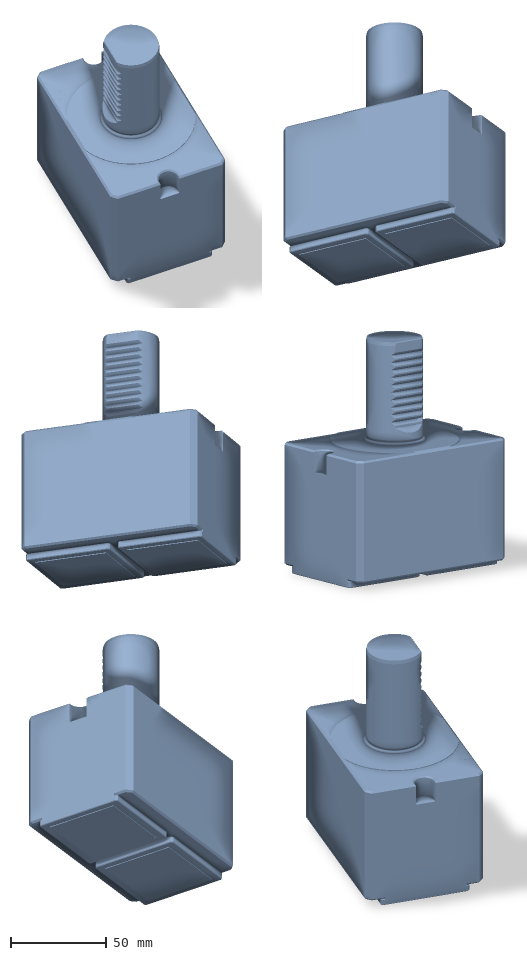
import cadquery as cq

length = 100.0
width = 66.0
block_bottom = 4.0
block_top = 70.0
corner_bevel = 3.0
top_bevel = 1.5
bottom_bevel = 1.0

seat_diameter = 68.0
seat_height = 0.5
shoulder_top = block_top - seat_height

notch_diameter = 10.8
notch_inset = 2.0
notch_depth = 12.0
notch_bevel = 0.8

pin_diameter = 6.0
pin_x = -30.0
pin_y = -29.0
pin_height = 0.06
pin_depth = 6.2

total_height = 125.0
shank_diameter = 30.0
ring_section = 2.5
ring_outer_diameter = 32.8
neck_height = 1.2
neck_top = block_top + neck_height
taper_inset = 0.4
top_taper = 2.0
neck_taper = 1.1

flat_distance = 12.0
flat_top_bevel = 0.4
flat_bottom = 79.0
groove_count = 10
groove_pitch = 4.0
groove_depth = 1.6
first_groove = 117.9

pad_gap = 4.4
pad_width = 49.4
pad_length = (length - pad_gap) / 2
pad_corner = 1.0
pad_edge = 0.4
pad_top = block_bottom
pad_bottom = 0.4
pad_root_width = 45.4
pad_root_top = 6.0
face_length = 40.5
face_width = 40.2


def box(x_size, y_size, bottom, top):
    """Upright box centred on the Z axis."""
    return cq.Workplane("XY").workplane(offset=bottom).rect(x_size, y_size).extrude(top - bottom)


def disc(diameter, bottom, top):
    """Upright cylinder on the Z axis."""
    return cq.Workplane("XY").workplane(offset=bottom).circle(diameter / 2).extrude(top - bottom)


def make_block():
    block = box(length, width, block_bottom, block_top).edges("|Z").chamfer(corner_bevel)
    block = block.faces(">Z").chamfer(top_bevel)
    block = block.faces("<Z").chamfer(bottom_bevel)
    around_seat = box(length, width, shoulder_top, block_top).cut(
        disc(seat_diameter, shoulder_top, block_top)
    )
    return block.cut(around_seat)


def notch_cutter(side):
    """Round-ended slot open to the short side, with a bevelled rim."""
    radius = notch_diameter / 2
    mouth = side * 2 * notch_inset

    def slot_profile(bottom):
        return (
            cq.Workplane("XY", origin=(side * (length / 2 - notch_inset), 0, bottom))
            .moveTo(mouth, radius)
            .lineTo(0, radius)
            .threePointArc((-side * radius, 0), (0, -radius))
            .lineTo(mouth, -radius)
            .close()
        )

    slot = slot_profile(shoulder_top - notch_depth).extrude(notch_depth)
    rim = slot_profile(shoulder_top - notch_bevel).extrude(notch_bevel, taper=-45)
    return slot.union(rim)


def make_shank():
    radius = shank_diameter / 2
    end_radius = radius - taper_inset
    profile = [
        (0, block_top),
        (end_radius, block_top),
        (end_radius, neck_top),
        (radius, neck_top + neck_taper),
        (radius, total_height - top_taper),
        (end_radius, total_height),
        (0, total_height),
    ]
    shank = cq.Workplane("XZ").polyline(profile).close().revolve(360, (0, 0), (0, 1))
    return shank


def make_ring():
    section_radius = ring_section / 2
    centre_radius = ring_outer_diameter / 2 - section_radius
    section = cq.Workplane("XZ").center(centre_radius, block_top).circle(section_radius)
    return section.revolve(360, (-centre_radius, 0), (-centre_radius, 1))


def tooth_cutter():
    """Material removed in front of the toothed flat, as a side profile swept along X."""
    radius = shank_diameter / 2
    profile = [
        (-radius, total_height),
        (flat_top_bevel - flat_distance, total_height),
        (-flat_distance, total_height - flat_top_bevel),
    ]
    for index in range(groove_count):
        centre = first_groove - index * groove_pitch
        profile.append((-flat_distance, centre + groove_depth))
        profile.append((groove_depth - flat_distance, centre))
        profile.append((-flat_distance, centre - groove_depth))
    profile.append((-flat_distance, flat_bottom))
    profile.append((-radius, flat_bottom - (radius - flat_distance)))
    return cq.Workplane("YZ").polyline(profile).close().extrude(radius, both=True)


def make_pin():
    pin = disc(pin_diameter, shoulder_top - pin_depth, shoulder_top + pin_height)
    return pin.translate((pin_x, pin_y, 0))


def make_pad(side):
    """Bevelled pad with a root set into the block and a raised face below."""
    pad = box(pad_length, pad_width, pad_bottom, pad_top).edges("|Z").chamfer(pad_corner)
    pad = pad.faces("<Z or >Z").chamfer(pad_edge)
    root = box(pad_length, pad_root_width, pad_top - pad_edge, pad_root_top)
    face = box(face_length, face_width, 0, pad_bottom)
    return pad.union(root).union(face).translate((side * (pad_gap + pad_length) / 2, 0, 0))


result = make_block().union(make_shank().cut(tooth_cutter()))
result = result.union(make_ring()).union(make_pin())
for side in (-1, 1):
    result = result.cut(notch_cutter(side))
    result = result.union(make_pad(side))